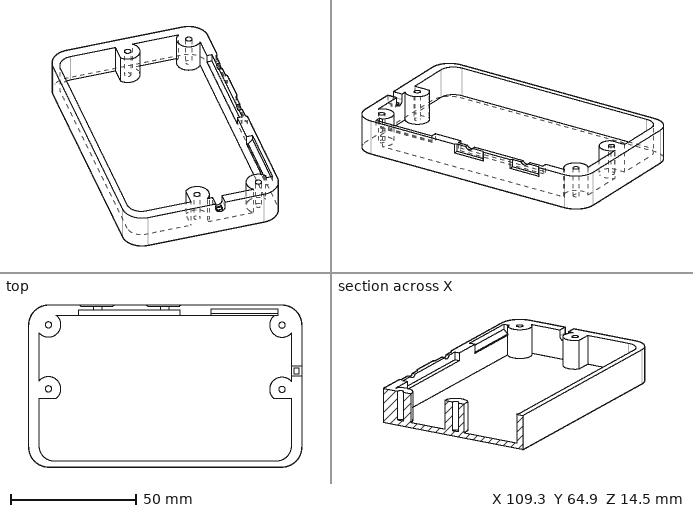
import cadquery as cq

length = 109.3
width = 64.9
height = 14.5
corner_radius = 8.2

floor_thickness = 2.4
side_wall = 4.3
front_wall = 2.5
back_wall = 4.2
cavity_corner_radius = 6.0
cavity_length = length - 2 * side_wall
cavity_front = -width / 2 + front_wall
cavity_back = width / 2 - back_wall

boss_radius = 4.9
screw_hole_diameter = 2.5
boss_x = 46.7
left_boss_ys = (24.5, -1.1)
right_boss_ys = (24.4, -1.3)
boss_flat_y = -5.0
boss_centers = [(-boss_x, y) for y in left_boss_ys] + [(boss_x, y) for y in right_boss_ys]

recess_left = -34.6
recess_right = 5.9
recess_inset = 2.1
recess_depth = 3.3

plug_centers = (-27.3, -0.7)
plug_width = 13.9
plug_depth = 3.8
plug_inset = 0.7
plug_taper = 45
groove_width = 3.4
groove_depth = 1.0
groove_offset = 0.4

slot_left = 18.3
slot_right = 45.0
slot_back = 30.8
slot_foot = 29.0
slot_back_depth = 2.1
slot_front_depth = 3.8

notch_y = 6.0
notch_width = 3.9
notch_side_depth = 2.4
pit_length = 2.0
pit_width = 2.5
pit_depth = 4.8


def box(x0, x1, y0, y1, z0, z1):
    """Box between two opposite corners."""
    return cq.Workplane("XY").box(x1 - x0, y1 - y0, z1 - z0, centered=False).translate((x0, y0, z0))


def make_cavity():
    """Open cavity that leaves the bosses standing."""
    cavity = box(-cavity_length / 2, cavity_length / 2, cavity_front, cavity_back, floor_thickness, height)
    cavity = cavity.edges("|Z").fillet(cavity_corner_radius)
    for x, y in boss_centers:
        boss = cq.Workplane("XY").center(x, y).circle(boss_radius).extrude(height)
        if y < 0:
            outer_x = length / 2 if x > 0 else -length / 2
            chord_half = (boss_radius**2 - (y - boss_flat_y) ** 2) ** 0.5
            chord_x = x - chord_half if x > 0 else x + chord_half
            web = box(min(chord_x, outer_x), max(chord_x, outer_x), boss_flat_y, y, 0, height)
            below_flat = box(-length, length, -width, boss_flat_y, 0, height)
            boss = boss.union(web).cut(below_flat)
        cavity = cavity.cut(boss)
    return cavity


def make_plug_opening(x):
    """Tapered pocket in the outer face and a shallow groove from it to the recess."""
    pocket = (
        cq.Workplane("XZ", origin=(x, width / 2, height))
        .rect(plug_width, 2 * plug_depth)
        .extrude(plug_inset, taper=plug_taper)
    )
    groove = (
        cq.Workplane("XZ", origin=(x + groove_offset, width / 2, height))
        .moveTo(-groove_width / 2, 0)
        .threePointArc((0, -groove_depth), (groove_width / 2, 0))
        .close()
        .extrude(back_wall)
    )
    return pocket.union(groove)


def make_card_slot():
    """Slot whose floor slopes down to a narrow ledge at the cavity."""
    return (
        cq.Workplane("YZ", origin=(slot_left, 0, height))
        .polyline([
            (slot_back, 0),
            (slot_back, -slot_back_depth),
            (slot_foot, -slot_front_depth),
            (cavity_back, -slot_front_depth),
            (cavity_back, 0),
        ])
        .close()
        .extrude(slot_right - slot_left)
    )


def make_wall_notch():
    """U-shaped notch with a rectangular pit in the middle of its floor."""
    half = notch_width / 2
    notch = (
        cq.Workplane("YZ", origin=(cavity_length / 2, notch_y, height))
        .moveTo(-half, 0)
        .lineTo(-half, -notch_side_depth)
        .threePointArc((0, -notch_side_depth - half), (half, -notch_side_depth))
        .lineTo(half, 0)
        .close()
        .extrude(side_wall)
    )
    pit_x = (length - side_wall) / 2
    pit = box(
        pit_x - pit_length / 2, pit_x + pit_length / 2,
        notch_y - pit_width / 2, notch_y + pit_width / 2,
        height - pit_depth, height,
    )
    return notch.union(pit)


body = box(-length / 2, length / 2, -width / 2, width / 2, 0, height).edges("|Z").fillet(corner_radius)
body = body.cut(make_cavity())

screw_holes = (
    cq.Workplane("XY", origin=(0, 0, floor_thickness))
    .pushPoints(boss_centers)
    .circle(screw_hole_diameter / 2)
    .extrude(height)
)
body = body.cut(screw_holes)

recess_back = cavity_back + recess_inset
body = body.cut(box(recess_left, recess_right, cavity_back, recess_back, height - recess_depth, height))
for plug_x in plug_centers:
    body = body.cut(make_plug_opening(plug_x))
body = body.cut(make_card_slot())
result = body.cut(make_wall_notch())